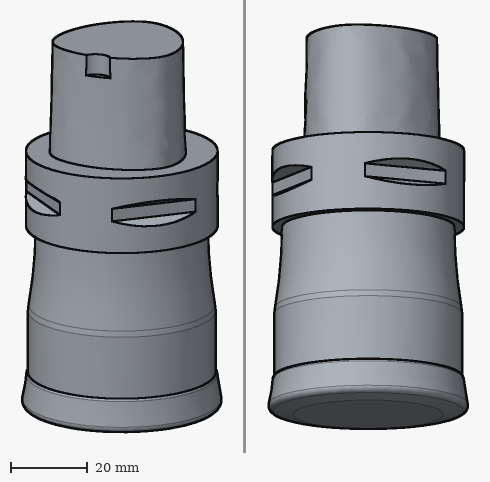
import cadquery as cq
import math

total_height = 100.0
collar_top = 70.0
collar_bottom = 49.7
sleeve_shoulder = 28.3
sleeve_top = 26.7
foot_top = 10.0

collar_radius = 25.0
neck_radius = 22.5
shoulder_radius = 24.3
sleeve_radius = 24.5

foot_top_radius = 24.8
foot_rim_radius = 26.2
foot_rim_height = 1.2
foot_base_radius = 19.5
foot_edge_fillet = 1.5
foot_top_fillet = 0.8

shank_base_radius = 17.75
shank_taper = 1 / 20
shank_lobe = 1.1
shank_lobe_count = 3
shank_outline_points = 48

notch_radius = 3.9
notch_center_y = -17.7
notch_depth = 5.5

groove_count = 4
groove_first_angle = 45.0
groove_floor_distance = 22.1
groove_floor_half_width = 1.7
groove_wall_angle = 30.0
groove_z = 60.0
groove_overshoot = 1.0


def make_turned_body():
    """Collar, flared neck and cylindrical sleeve, revolved about Z."""
    flare_height = collar_bottom - sleeve_shoulder
    flare_width = shoulder_radius - neck_radius
    flare_radius = (flare_height**2 + flare_width**2) / (2 * flare_width)
    return (
        cq.Workplane("XZ")
        .moveTo(0, collar_top)
        .lineTo(collar_radius, collar_top)
        .lineTo(collar_radius, collar_bottom)
        .lineTo(neck_radius, collar_bottom)
        .radiusArc((shoulder_radius, sleeve_shoulder), -flare_radius)
        .lineTo(sleeve_radius, sleeve_top)
        .lineTo(sleeve_radius, foot_top)
        .lineTo(0, foot_top)
        .close()
        .revolve(360, (0, 0), (0, 1))
    )


def shank_outline(mean_radius):
    """Return a curve of constant width with one lobe pointing along +Y."""
    def point(t):
        along = mean_radius + shank_lobe * math.cos(shank_lobe_count * t)
        across = shank_lobe_count * shank_lobe * math.sin(shank_lobe_count * t)
        x = -along * math.sin(t) + across * math.cos(t)
        y = along * math.cos(t) + across * math.sin(t)
        return x, y

    step = 2 * math.pi / shank_outline_points
    return [point(i * step) for i in range(shank_outline_points)]


def make_shank():
    """Loft between the outlines at the collar and at the top."""
    height = total_height - collar_top
    top_radius = shank_base_radius - shank_taper * height / 2
    return (
        cq.Workplane("XY", origin=(0, 0, collar_top))
        .spline(shank_outline(shank_base_radius), periodic=True)
        .close()
        .workplane(offset=height)
        .spline(shank_outline(top_radius), periodic=True)
        .close()
        .loft(ruled=True)
    )


def make_notch():
    return (
        cq.Workplane("XY", origin=(0, notch_center_y, total_height - notch_depth))
        .circle(notch_radius)
        .extrude(notch_depth)
    )


def make_groove(angle):
    """Straight trapezoidal groove across the collar at the given angle."""
    outer = collar_radius + groove_overshoot
    wall_rise = (outer - groove_floor_distance) * math.tan(math.radians(groove_wall_angle))
    mouth_half_width = groove_floor_half_width + wall_rise
    return (
        cq.Workplane("XZ")
        .polyline([
            (groove_floor_distance, groove_z - groove_floor_half_width),
            (outer, groove_z - mouth_half_width),
            (outer, groove_z + mouth_half_width),
            (groove_floor_distance, groove_z + groove_floor_half_width),
        ])
        .close()
        .extrude(collar_radius, both=True)
        .rotate((0, 0, 0), (0, 0, 1), angle)
    )


def make_holder():
    body = make_turned_body().union(make_shank()).cut(make_notch())
    for i in range(groove_count):
        body = body.cut(make_groove(groove_first_angle + i * 360 / groove_count))
    return body


def make_foot():
    """Flared disc with rounded edges and a shallow conical underside."""
    foot = (
        cq.Workplane("XZ")
        .polyline([
            (0, 0),
            (foot_base_radius, 0),
            (foot_rim_radius, foot_rim_height),
            (foot_top_radius, foot_top),
            (0, foot_top),
        ])
        .close()
        .revolve(360, (0, 0), (0, 1))
    )
    rim = cq.selectors.RadiusNthSelector(-1)
    foot = foot.edges(rim).fillet(foot_edge_fillet)
    return foot.faces(">Z").edges().fillet(foot_top_fillet)


holder = make_holder()
foot = make_foot()
result = cq.Compound.makeCompound([holder.val(), foot.val()])